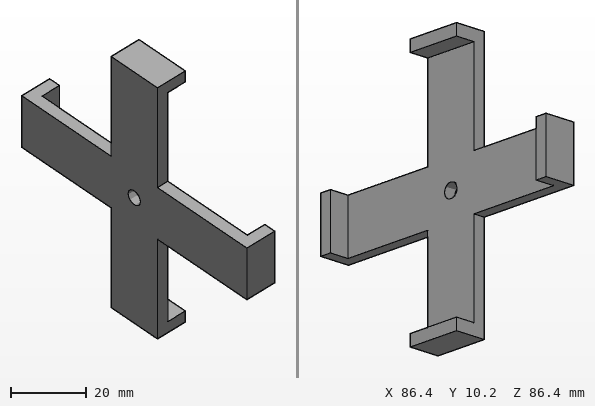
import cadquery as cq

span = 86.36
arm_width = 17.78
plate_thickness = 3.81
lip_thickness = 3.81
total_depth = 10.16
hole_diameter = 4.67

arm_count = 4
arm_angle = 360 / arm_count


def make_arm():
    """Arm along +X from the centre, with a lip at its tip pointing to +Y."""
    reach = span / 2
    lip_inner = reach - lip_thickness
    return (
        cq.Workplane("XY")
        .moveTo(0, 0)
        .lineTo(reach, 0)
        .lineTo(reach, total_depth)
        .lineTo(lip_inner, total_depth)
        .lineTo(lip_inner, plate_thickness)
        .lineTo(0, plate_thickness)
        .close()
        .extrude(arm_width / 2, both=True)
    )


def make_cross():
    """Central square hub joined to the arms, which are spaced evenly about Y."""
    arm = make_arm()
    cross = cq.Workplane("XY").box(
        arm_width, plate_thickness, arm_width, centered=(True, False, True)
    )
    for index in range(arm_count):
        cross = cross.union(arm.rotate((0, 0, 0), (0, 1, 0), index * arm_angle))
    return cross.clean()


def make_centre_hole():
    """Cutter for the round hole through the plate along Y."""
    return cq.Workplane("XZ").circle(hole_diameter / 2).extrude(-plate_thickness)


result = make_cross().cut(make_centre_hole())